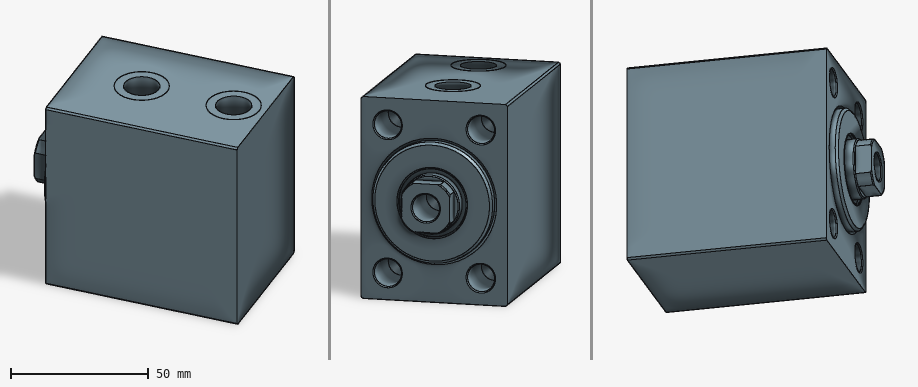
import cadquery as cq
import math


housing_length = 75.0
housing_width = 55.0
housing_height = 75.0
edge_chamfer = 0.7

bore_diameter = 45.0
bore_depth = 65.0
bore_mouth_chamfer = 1.0

thread_hole_diameter = 10.2
thread_hole_depth = 20.0
countersink_diameter = 11.05
drill_point_angle = 118.0

mount_spacing_y = 35.0
mount_spacing_z = 55.0

port_positions_x = (26.45, 62.5)
port_diameter = 13.1
port_depth = 12.0
spotface_diameter = 20.0
spotface_depth = 0.1
oil_passage_diameter = 4.0

gland_protrusion = 3.0
gland_depth = 20.0
gland_chamfer = 1.0
wiper_seat_diameter = 26.45
wiper_seat_depth = 0.3
wiper_groove_diameter = 25.3
wiper_groove_depth = 1.2

rod_diameter = 22.0
rod_chamfer = 0.4
shoulder_protrusion = 6.0
tip_diameter = 21.0
tip_chamfer = 0.4
flats_width = 18.0
piston_length = 25.0
total_length = 87.0
tip_protrusion = total_length - housing_length


def cylinder_x(diameter, start, end):
    """Cylinder on the X axis between two X positions."""
    return cq.Workplane("YZ").workplane(offset=start).circle(diameter / 2).extrude(end - start)


def thread_hole(mouth_x, y=0, z=0):
    """Blind hole along +X with a 45 degree countersink and a conical drill point."""
    radius = thread_hole_diameter / 2
    countersink_radius = countersink_diameter / 2
    countersink_depth = countersink_radius - radius
    point_length = radius / math.tan(math.radians(drill_point_angle / 2))
    profile = [
        (0, 0),
        (0, countersink_radius),
        (countersink_depth, radius),
        (thread_hole_depth, radius),
        (thread_hole_depth + point_length, 0),
    ]
    hole = cq.Workplane("XY").polyline(profile).close().revolve(360, (0, 0, 0), (1, 0, 0))
    return hole.translate((mouth_x, y, z))


def oil_port(x):
    """Spotface, port bore and narrow passage reaching down into the cylinder bore."""
    top = cq.Workplane("XY").workplane(offset=housing_height / 2).center(x, 0)
    spotface = top.circle(spotface_diameter / 2).extrude(-spotface_depth)
    port = top.circle(port_diameter / 2).extrude(-port_depth)
    passage = top.circle(oil_passage_diameter / 2).extrude(-housing_height / 2)
    return spotface.union(port).union(passage)


def make_housing():
    block = cq.Workplane("XY").box(
        housing_length, housing_width, housing_height, centered=(False, True, True)
    )
    block = block.edges("|X").chamfer(edge_chamfer)
    for x in port_positions_x:
        block = block.cut(oil_port(x))
    block = block.cut(cylinder_x(bore_diameter, 0, bore_depth))
    block = block.faces("<X").edges("%CIRCLE").chamfer(bore_mouth_chamfer)
    for side_y in (-1, 1):
        for side_z in (-1, 1):
            hole = thread_hole(0, side_y * mount_spacing_y / 2, side_z * mount_spacing_z / 2)
            block = block.cut(hole)
    return block


def make_gland():
    face_x = -gland_protrusion
    gland = cylinder_x(bore_diameter, face_x, gland_depth)
    gland = gland.faces("<X").chamfer(gland_chamfer)
    gland = gland.cut(cylinder_x(wiper_seat_diameter, face_x, face_x + wiper_seat_depth))
    gland = gland.cut(cylinder_x(wiper_groove_diameter, face_x, face_x + wiper_groove_depth))
    return gland.cut(cylinder_x(rod_diameter, face_x, gland_depth))


def make_piston_rod():
    rod = cylinder_x(rod_diameter, -shoulder_protrusion, bore_depth)
    rod = rod.faces("<X").chamfer(rod_chamfer)
    piston = cylinder_x(bore_diameter, bore_depth - piston_length, bore_depth)
    tip = cylinder_x(tip_diameter, -tip_protrusion, -shoulder_protrusion)
    tip = tip.faces("<X").chamfer(tip_chamfer)
    square = cq.Workplane("YZ").workplane(offset=-tip_protrusion).rect(flats_width, flats_width)
    tip = tip.intersect(square.extrude(tip_protrusion))
    return rod.union(piston).union(tip).cut(thread_hole(-tip_protrusion))


housing = make_housing()
gland = make_gland()
piston_rod = make_piston_rod()

result = cq.Compound.makeCompound([housing.val(), gland.val(), piston_rod.val()])